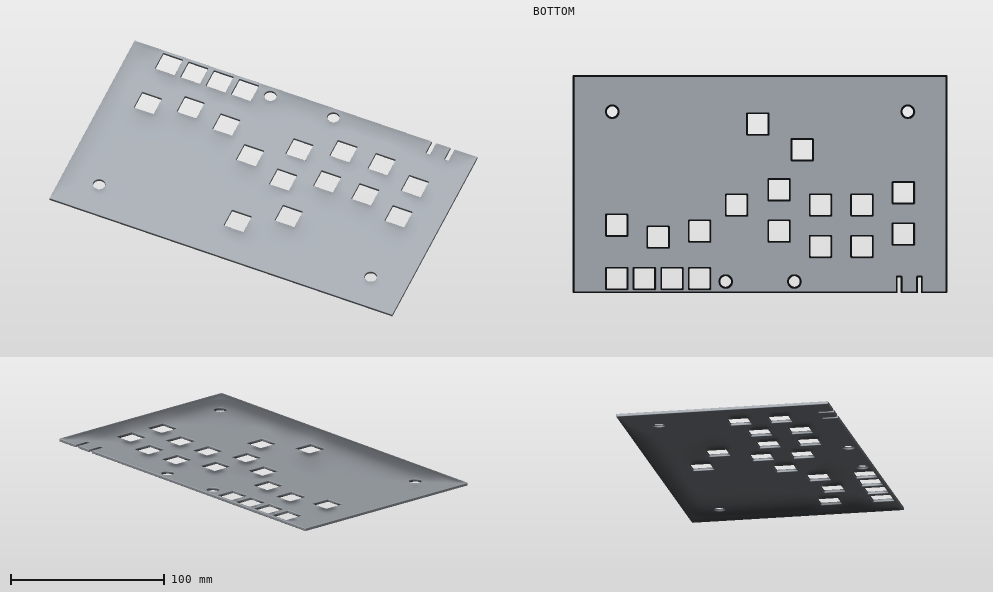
import cadquery as cq

length = 243.8
width = 141.5
thickness = 2.0
cutter_height = 2 * thickness
back_edge = width / 2
edge_radius = 0.4

key_size = 14.0
key_pitch = 27.0
menu_pitch = 18.0
menu_count = 4

left_column_x = -93.5
left_key_ys = [26.8, 34.5, 30.7]
menu_y = 61.7

right_column_x = 12.5
right_front_key_ys = [3.7, 13.7, 13.7, 5.5]

single_keys = [(-15.4, 13.7), (27.5, -22.5), (-1.5, -39.3)]

screw_hole_diameter = 8.0
screw_hole_pairs = [(22.5, 63.6), (96.5, -47.3)]

slot_width = 3.0
slot_depth = 10.2
slot_xs = [91.0, 104.0]


def key_centres():
    menu = [(left_column_x + i * menu_pitch, menu_y) for i in range(menu_count)]
    left = [(left_column_x + i * key_pitch, y) for i, y in enumerate(left_key_ys)]
    right = []
    for i, front_y in enumerate(right_front_key_ys):
        x = right_column_x + i * key_pitch
        right += [(x, front_y), (x, front_y + key_pitch)]
    return menu + left + right + single_keys


def screw_hole_centres():
    return [(side * half, y) for half, y in screw_hole_pairs for side in (-1, 1)]


plate = cq.Workplane("XY").box(length, width, thickness)

keys = cq.Workplane("XY").pushPoints(key_centres()).box(key_size, key_size, cutter_height)

screw_holes = (
    cq.Workplane("XY")
    .pushPoints(screw_hole_centres())
    .circle(screw_hole_diameter / 2)
    .extrude(cutter_height / 2, both=True)
)

slots = (
    cq.Workplane("XY")
    .pushPoints([(x, back_edge) for x in slot_xs])
    .box(slot_width, 2 * slot_depth, cutter_height)
)

pierced_plate = plate.cut(keys).cut(screw_holes).cut(slots)

result = pierced_plate.edges().fillet(edge_radius)